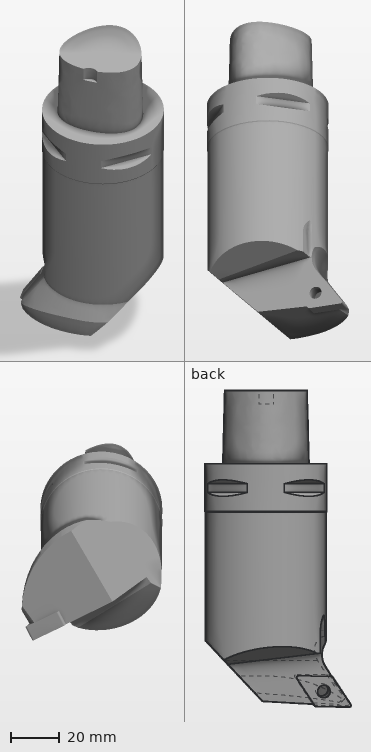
import cadquery as cq
import math


flange_diameter = 50.0
body_diameter = 49.7
flange_height = 20.0
flange_chamfer = 0.4
body_bottom = -80.6

shank_height = 30.0
shank_base_radius = 17.5
shank_taper = 1 / 40
lobe_offset = 1.24
shank_notch_radius = 3.6
shank_notch_center_y = -17.5
shank_notch_depth = 5.5

slot_count = 4
slot_floor_radius = 22.2
slot_middle = -10.0
slot_floor_height = 3.5
slot_mouth_height = 6.8

flare_angle = 29.0
head_radius = 28.4
head_large_radius = 38.6
head_bottom_z = -97.1
head_bottom_slope_x = 0.072
head_bottom_slope_y = -0.098
back_cut_top = -72.4
back_cut_slope = 1.065

flank_top = cq.Vector(-21.7, -12.7, -81.6)
flank_skew = 0.1
flank_slope = 0.66
flank_line_drop = -0.1
scoop_radius = 9.1
flank_end_y = 6.5
toe_edge = cq.Vector(-31.7, -11.6, -96.3)

tip_x = -35.6
tip_y = 0.1
tip_z = -100.0
rake_slope_x = 0.15
rake_slope_z = 0.12

flute_fold_y = 13.1
flute_roof_z = -80.5
flute_roof_slope = 0.42
flute_tilt = 0.12
groove_floor_x = -22.4
groove_floor_top = -68.5
groove_runout_radius = 15.6
groove_fillet = 1.5

insert_edge = 15.5
insert_angle = 55.0
insert_thickness = 6.4
insert_nose_radius = 0.8
insert_hole_diameter = 5.2
insert_edge_rise = 10.0
insert_edge_run = 6.6

margin = 78.0

rake_normal = cq.Vector(-rake_slope_x, 1, -rake_slope_z).normalized()
rake_tip = cq.Vector(tip_x, tip_y, tip_z)


def block_on_plane(origin, normal):
    """Large block standing on a plane, on the side its normal points to."""
    plane = cq.Plane(origin=origin, normal=normal)
    return cq.Workplane(plane).rect(2 * margin, 2 * margin).extrude(margin)


def shank_section(mean_radius):
    """Three-lobed curve with one lobe toward +Y."""
    def point(t):
        angle = 2 * math.pi * t
        x = mean_radius * math.sin(angle) + lobe_offset * math.sin(2 * angle)
        y = -mean_radius * math.cos(angle) + lobe_offset * math.cos(2 * angle)
        return x, y
    return point


def make_shank():
    top_radius = shank_base_radius - shank_height * shank_taper
    shank = (
        cq.Workplane("XY").parametricCurve(shank_section(shank_base_radius), N=60)
        .workplane(offset=shank_height)
        .parametricCurve(shank_section(top_radius), N=60)
        .loft(ruled=True)
    )
    notch = (
        cq.Workplane("XY", origin=(0, shank_notch_center_y, shank_height))
        .circle(shank_notch_radius).extrude(-shank_notch_depth)
    )
    return shank.cut(notch)


def make_flange():
    flange = (
        cq.Workplane("XY").circle(flange_diameter / 2).extrude(-flange_height)
        .faces("<Z").chamfer(flange_chamfer, (flange_diameter - body_diameter) / 2)
    )
    depth = flange_diameter / 2 - slot_floor_radius
    slot = (
        cq.Workplane("XZ", origin=(slot_floor_radius, 0, slot_middle))
        .moveTo(0, -slot_floor_height / 2)
        .lineTo(depth, -slot_mouth_height / 2)
        .lineTo(depth, slot_mouth_height / 2)
        .lineTo(0, slot_floor_height / 2)
        .close().extrude(flange_diameter / 2, both=True)
    )
    for i in range(slot_count):
        angle = (i + 0.5) * 360 / slot_count
        flange = flange.cut(slot.rotate((0, 0, 0), (0, 0, 1), angle))
    return flange


def make_head():
    """Cone that widens downward, trimmed to an outline of two tangent arcs."""
    height = body_bottom - tip_z
    top_radius = body_diameter / 2
    bottom_radius = top_radius + height * math.tan(math.radians(flare_angle))
    cone = cq.Workplane(cq.Solid.makeCone(
        top_radius, bottom_radius, height, cq.Vector(0, 0, body_bottom), cq.Vector(0, 0, -1)))

    large_center_y = head_large_radius - head_radius
    outline = (
        cq.Workplane("XY", origin=(0, 0, tip_z))
        .moveTo(0, -head_radius)
        .threePointArc((head_radius, 0), (0, head_radius))
        .lineTo(-head_large_radius, head_radius)
        .lineTo(-head_large_radius, large_center_y)
        .threePointArc(
            (-head_large_radius * math.sqrt(0.5), large_center_y - head_large_radius * math.sqrt(0.5)),
            (0, -head_radius))
        .close().extrude(height)
    )
    bottom = block_on_plane((0, 0, head_bottom_z), (head_bottom_slope_x, head_bottom_slope_y, -1))
    return cone.intersect(outline).cut(bottom)


def make_flank_cut():
    """Sloping flank that runs up into a tangent round scoop."""
    line = cq.Vector(-flank_skew + flank_slope * flank_line_drop, 1, flank_line_drop).normalized()
    outward = cq.Vector(-1, -flank_skew, flank_slope).normalized()
    section = cq.Plane(origin=flank_top, xDir=outward, normal=line)
    down_sign = -math.copysign(1, section.yDir.z)
    reach = 2 * scoop_radius
    half_length = flank_end_y - flank_top.y
    flat = (
        cq.Workplane(section)
        .polyline([(0, 0), (0, down_sign * margin), (reach, down_sign * margin), (reach, 0)])
        .close().extrude(half_length, both=True)
    )
    scoop = (
        cq.Workplane(section).center(scoop_radius, 0)
        .circle(scoop_radius).extrude(half_length, both=True)
    )
    return flat.union(scoop)


def make_toe_cut():
    """Clearance bevel under the lower edge of the flank."""
    return block_on_plane(toe_edge, (-1, -flank_skew, -1))


def make_flute_cut():
    """Space in front of the rake plane, under a folded roof that rises toward -X."""
    section = cq.Plane(origin=(0, flute_fold_y, flute_roof_z), xDir=(0, 1, 0), normal=(1, 0, -flute_tilt))
    flute = (
        cq.Workplane(section)
        .polyline([
            (-margin, 0), (0, 0), (margin, margin * flute_roof_slope),
            (margin, -margin), (-margin, -margin),
        ])
        .close().extrude(margin, both=True)
    )
    return flute.intersect(block_on_plane(rake_tip, rake_normal))


def make_groove_cut():
    """Shallow groove along the rake plane above the flute, with a round runout."""
    corner = groove_runout_radius * math.sqrt(0.5)
    runout_x = groove_floor_x - groove_runout_radius
    groove = (
        cq.Workplane("XZ")
        .moveTo(groove_floor_x, flute_roof_z)
        .lineTo(groove_floor_x, groove_floor_top)
        .threePointArc(
            (runout_x + corner, groove_floor_top + corner),
            (runout_x, groove_floor_top + groove_runout_radius))
        .lineTo(runout_x, flute_roof_z)
        .close().extrude(-flange_diameter / 2, both=True)
        .intersect(block_on_plane(rake_tip, rake_normal))
    )
    rake_corner = cq.selectors.BoxSelector(
        (groove_floor_x - groove_fillet, -margin, flute_roof_z + groove_fillet),
        (groove_floor_x + groove_fillet, flute_fold_y, groove_floor_top))
    return groove.edges(rake_corner).fillet(groove_fillet)


def make_insert_blank():
    """Rhombic plate whose top face lies on the rake plane."""
    edge_y = rake_slope_x * insert_edge_run + rake_slope_z * insert_edge_rise
    edge_direction = cq.Vector(insert_edge_run, edge_y, insert_edge_rise)
    plane = cq.Plane(origin=rake_tip, xDir=edge_direction, normal=rake_normal)
    side_x = insert_edge * math.cos(math.radians(insert_angle))
    side_y = insert_edge * math.sin(math.radians(insert_angle))
    return (
        cq.Workplane(plane)
        .polyline([(0, 0), (insert_edge, 0), (insert_edge + side_x, side_y), (side_x, side_y)])
        .close().extrude(-insert_thickness)
        .edges(cq.selectors.ParallelDirSelector(rake_normal)).fillet(insert_nose_radius)
    )


def make_insert():
    blank = make_insert_blank()
    center = blank.val().Center()
    hole = (
        cq.Workplane(cq.Plane(origin=center, normal=rake_normal))
        .circle(insert_hole_diameter / 2).extrude(insert_thickness, both=True)
    )
    return blank.cut(hole)


def make_holder():
    body = (
        cq.Workplane("XY", origin=(0, 0, -flange_height))
        .circle(body_diameter / 2).extrude(body_bottom + flange_height)
    )
    back_cut = block_on_plane((flange_diameter / 2, 0, back_cut_top), (back_cut_slope, 0, -1))
    return (
        make_shank().union(make_flange()).union(body).union(make_head())
        .cut(make_flank_cut())
        .cut(make_toe_cut())
        .cut(make_flute_cut())
        .cut(make_groove_cut())
        .cut(back_cut)
        .cut(make_insert_blank())
    )


holder = make_holder()
insert = make_insert()

result = cq.Compound.makeCompound([holder.solids().val(), insert.solids().val()])